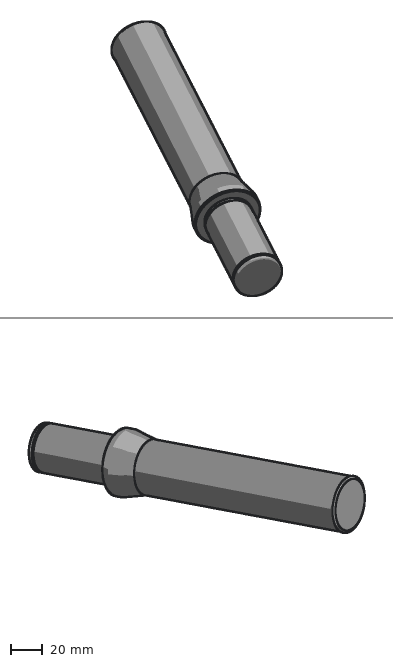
import cadquery as cq
import math

total_length = 235.0
rim_position = 1.6
flare_end = 3.0
cone_start = 152.8
cone_end = 169.7
collar_end = 174.8
relief_end = 177.5
end_groove_start = 230.8
end_groove_end = 232.0

face_diameter = 33.1
rim_diameter = 36.7
barrel_diameter = 36.0
collar_diameter = 44.0
shank_diameter = 32.0
relief_diameter = 31.5

collar_chamfer = 0.7
rear_fillet = 1.5

outer_ridge_radius = 12.5
valley_radius = 9.0
inner_ridge_radius = 5.5
face_relief = 0.5

arc_middle = math.sqrt(0.5)


def revolve_about_x(profile):
    """Revolve a closed (axial position, radius) profile and center the tool's length on the origin."""
    solid = profile.close().revolve(360, (0, 0, 0), (1, 0, 0))
    return solid.translate((-total_length / 2, 0, 0))


def make_barrel():
    """Cylinder with a ridged drilling face, a sloping rim and a slight flare behind the rim."""
    barrel_radius = barrel_diameter / 2
    profile = (
        cq.Workplane("XY")
        .moveTo(cone_start, 0)
        .lineTo(cone_start, barrel_radius)
        .lineTo(flare_end, barrel_radius)
        .tangentArcPoint((rim_position, rim_diameter / 2), relative=False)
        .lineTo(face_relief, face_diameter / 2)
        .lineTo(0, outer_ridge_radius)
        .lineTo(face_relief, valley_radius)
        .lineTo(0, inner_ridge_radius)
        .lineTo(face_relief, 0)
    )
    return revolve_about_x(profile)


def make_collared_shank():
    """Conical collar and shank, with a relief at the collar and a groove near the rounded rear end."""
    collar_radius = collar_diameter / 2
    shank_radius = shank_diameter / 2
    relief_radius = relief_diameter / 2
    fillet_start = total_length - rear_fillet
    fillet_center = shank_radius - rear_fillet
    profile = (
        cq.Workplane("XY")
        .moveTo(cone_start, 0)
        .lineTo(cone_start, barrel_diameter / 2)
        .lineTo(cone_end, collar_radius)
        .lineTo(collar_end - collar_chamfer, collar_radius)
        .lineTo(collar_end, collar_radius - collar_chamfer)
        .lineTo(collar_end, relief_radius)
        .lineTo(relief_end, relief_radius)
        .lineTo(relief_end, shank_radius)
        .lineTo(end_groove_start, shank_radius)
        .lineTo(end_groove_start, relief_radius)
        .lineTo(end_groove_end, relief_radius)
        .lineTo(end_groove_end, shank_radius)
        .lineTo(fillet_start, shank_radius)
        .threePointArc(
            (fillet_start + rear_fillet * arc_middle, fillet_center + rear_fillet * arc_middle),
            (total_length, fillet_center),
        )
        .lineTo(total_length, 0)
    )
    return revolve_about_x(profile)


barrel = make_barrel()
collared_shank = make_collared_shank()

result = cq.Compound.makeCompound([barrel.val(), collared_shank.val()])